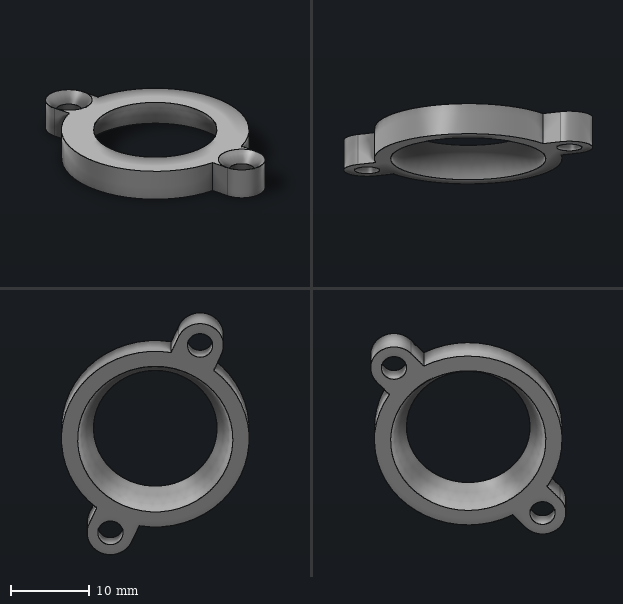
import cadquery as cq
import math

overall_length = 34.0
ring_diameter = 24.0
socket_top_diameter = 15.75
socket_sphere_radius = 10.25
thickness = 4.0
ear_width = 6.0
screw_hole_diameter = 3.2
countersink_angle = 90.0

screw_spacing = overall_length - ear_width
screw_places = [(-screw_spacing / 2, 0), (screw_spacing / 2, 0)]


def make_body():
    """Flat disc with a straight-sided, round-ended ear on both X sides."""
    disc = cq.Workplane("XY").circle(ring_diameter / 2).extrude(thickness)
    ears = cq.Workplane("XY").slot2D(overall_length, ear_width).extrude(thickness)
    return disc.union(ears)


def cut_socket(body):
    """Spherical through socket, centred below the ring and narrowest at the top face."""
    centre_below_top = math.sqrt(socket_sphere_radius**2 - (socket_top_diameter / 2) ** 2)
    ball = cq.Workplane("XY").sphere(socket_sphere_radius)
    return body.cut(ball.translate((0, 0, thickness - centre_below_top)))


def cut_screw_holes(body):
    """Through holes whose countersinks open to the full ear width at the top."""
    top = body.faces(">Z").workplane(origin=(0, 0, thickness))
    return top.pushPoints(screw_places).cskHole(screw_hole_diameter, ear_width, countersink_angle)


result = cut_screw_holes(cut_socket(make_body()))